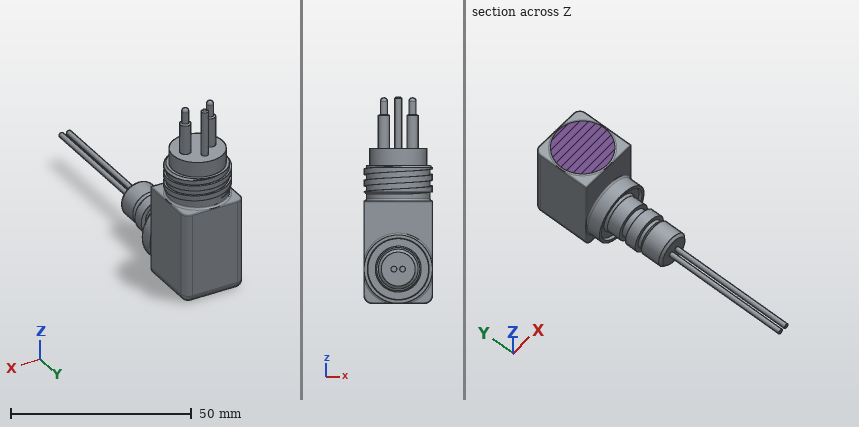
import cadquery as cq
import math


BODY_SIZE = 19.05
BODY_HALF = BODY_SIZE / 2
BODY_HEIGHT = 28.4
BODY_CORNER_RADIUS = 2.3
BODY_EDGE_RADIUS = 0.25

THREAD_ROOT_DIAMETER = 17.63
THREAD_CREST_DIAMETER = 18.85
THREAD_PITCH = 25.4 / 8
THREAD_RIDGE_WIDTH = THREAD_PITCH / 2
THREAD_BOTTOM = 30.3
THREAD_TOP = 38.2
THREAD_HEIGHT_AT_PLUS_X = 34.9
NECK_FILLET = 0.6
FACE_DIAMETER = 15.88
FACE_TOP = 42.9

PIN_OFFSET = 3.96
PIN_SLEEVE_DIAMETER = 3.17
PIN_SLEEVE_TOP = 52.3
PIN_SHOULDER_HEIGHT = 0.3
PIN_TIP_DIAMETER = 2.01
PIN_TIP_TOP = 56.95
GUIDE_PIN_DIAMETER = 1.99
GUIDE_PIN_TOP = 57.15
GUIDE_PIN_CHAMFER = 0.4

OUTLET_HEIGHT = BODY_HALF
COLLAR_DIAMETER = 18.92
COLLAR_LENGTH = 4.76
COLLAR_FILLET = 0.5
RECESS_DIAMETER = 17.14
RECESS_FLOOR_DIAMETER = 16.85
RECESS_DEPTH = 1.0
HUB_ROOT_DIAMETER = 12.7
HUB_TAPER_LENGTH = 0.9
HUB_DIAMETER = 11.94
HUB_END = 9.0
GROOVE_DIAMETER = 9.4
RING_START = 11.3
RING_END = 14.8
FLARE_START = 15.9
GRIP_DIAMETER = 11.02
GRIP_START = 16.75
GRIP_END = 23.8
GRIP_CHAMFER = (GRIP_DIAMETER - GROOVE_DIAMETER) / 2

WIRE_DIAMETER = 1.57
WIRE_OFFSET = 1.19
WIRE_LENGTH = 40.0

OVERLAP = 0.5


def cylinder(diameter, bottom, top, x=0, y=0):
    """Vertical cylinder between two heights."""
    base = cq.Workplane("XY", origin=(x, y, bottom))
    return base.circle(diameter / 2).extrude(top - bottom)


def make_body():
    """Block with rounded back and bottom edges, softened top and front edges."""
    block = cq.Workplane("XY").box(BODY_SIZE, BODY_SIZE, BODY_HEIGHT, centered=(True, True, False))
    block = block.edges("(|Z and >Y) or (|Y and <Z) or (|X and >Y and <Z)").fillet(BODY_CORNER_RADIUS)
    return block.faces(">Z or <Y").edges().fillet(BODY_EDGE_RADIUS)


def make_neck():
    """Thread core, flared into the top of the body, carrying the connector face."""
    root = THREAD_ROOT_DIAMETER / 2
    face = FACE_DIAMETER / 2
    arc_inset = NECK_FILLET * (1 - math.sqrt(0.5))
    profile = (
        cq.Workplane("XZ")
        .moveTo(0, BODY_HEIGHT - OVERLAP)
        .lineTo(root, BODY_HEIGHT - OVERLAP)
        .lineTo(root + NECK_FILLET, BODY_HEIGHT)
        .threePointArc(
            (root + arc_inset, BODY_HEIGHT + arc_inset),
            (root, BODY_HEIGHT + NECK_FILLET),
        )
        .lineTo(root, THREAD_TOP)
        .lineTo(face, THREAD_TOP)
        .lineTo(face, FACE_TOP)
        .lineTo(0, FACE_TOP)
        .close()
    )
    return profile.revolve(360, (0, 0, 0), (0, 1, 0))


def make_thread():
    """Square right-hand ridge, bevelled at 45 degrees to the root at both ends of the thread."""
    crest = THREAD_CREST_DIAMETER / 2
    root = THREAD_ROOT_DIAMETER / 2
    turns_below = math.ceil((THREAD_HEIGHT_AT_PLUS_X - THREAD_BOTTOM) / THREAD_PITCH) + 1
    turns_above = math.ceil((THREAD_TOP - THREAD_HEIGHT_AT_PLUS_X) / THREAD_PITCH) + 1
    start = THREAD_HEIGHT_AT_PLUS_X - turns_below * THREAD_PITCH
    length = (turns_below + turns_above) * THREAD_PITCH
    helix = cq.Wire.makeHelix(THREAD_PITCH, length, crest, center=cq.Vector(0, 0, start))
    ridge_depth = crest - root + OVERLAP
    section = cq.Workplane("XZ", origin=(0, 0, start)).center(crest - ridge_depth / 2, 0)
    ridge = section.rect(ridge_depth, THREAD_RIDGE_WIDTH).sweep(cq.Workplane(helix), isFrenet=True)

    bevel = crest - root + OVERLAP
    envelope = (
        cq.Workplane("XZ")
        .moveTo(0, THREAD_BOTTOM)
        .lineTo(root, THREAD_BOTTOM)
        .lineTo(root + bevel, THREAD_BOTTOM + bevel)
        .lineTo(root + bevel, THREAD_TOP - bevel)
        .lineTo(root, THREAD_TOP)
        .lineTo(0, THREAD_TOP)
        .close()
        .revolve(360, (0, 0, 0), (0, 1, 0))
    )
    return ridge.intersect(envelope)


def make_contact_pin(x):
    """Insulated lower shank, coned at the shoulder, with a round-nosed bare tip."""
    shoulder_width = (PIN_SLEEVE_DIAMETER - PIN_TIP_DIAMETER) / 2
    shank = cylinder(PIN_SLEEVE_DIAMETER, FACE_TOP - OVERLAP, PIN_SLEEVE_TOP, x)
    shank = shank.faces(">Z").edges().chamfer(PIN_SHOULDER_HEIGHT, shoulder_width)
    nose_radius = PIN_TIP_DIAMETER / 2
    nose_center = PIN_TIP_TOP - nose_radius
    tip = cylinder(PIN_TIP_DIAMETER, PIN_SLEEVE_TOP - OVERLAP, nose_center, x)
    nose = cq.Workplane("XY", origin=(x, 0, nose_center)).sphere(nose_radius)
    return shank.union(tip).union(nose)


def make_guide_pin():
    """Slim plain pin behind the two contacts."""
    pin = cylinder(GUIDE_PIN_DIAMETER, FACE_TOP - OVERLAP, GUIDE_PIN_TOP, 0, PIN_OFFSET)
    return pin.faces(">Z").edges().chamfer(GUIDE_PIN_CHAMFER)


def make_outlet():
    """Stepped cable outlet, turned about the cable axis and trimmed to the outline of the body."""
    collar = COLLAR_DIAMETER / 2
    recess = RECESS_DIAMETER / 2
    recess_floor = RECESS_FLOOR_DIAMETER / 2
    hub_root = HUB_ROOT_DIAMETER / 2
    hub = HUB_DIAMETER / 2
    groove = GROOVE_DIAMETER / 2
    grip = GRIP_DIAMETER / 2
    floor = COLLAR_LENGTH - RECESS_DEPTH
    arc_inset = COLLAR_FILLET * (1 - math.sqrt(0.5))
    profile = (
        cq.Workplane("XY")
        .moveTo(0, OVERLAP)
        .lineTo(collar - OVERLAP, OVERLAP)
        .lineTo(collar + COLLAR_FILLET, 0)
        .threePointArc((collar + arc_inset, -arc_inset), (collar, -COLLAR_FILLET))
        .lineTo(collar, -COLLAR_LENGTH)
        .lineTo(recess, -COLLAR_LENGTH)
        .lineTo(recess_floor, -floor)
        .lineTo(hub_root, -floor)
        .lineTo(hub, -floor - HUB_TAPER_LENGTH)
        .lineTo(hub, -HUB_END)
        .lineTo(groove, -HUB_END)
        .lineTo(groove, -RING_START)
        .lineTo(hub, -RING_START)
        .lineTo(hub, -RING_END)
        .lineTo(groove, -RING_END)
        .lineTo(groove, -FLARE_START)
        .lineTo(grip, -GRIP_START)
        .lineTo(grip, -GRIP_END + GRIP_CHAMFER)
        .lineTo(grip - GRIP_CHAMFER, -GRIP_END)
        .lineTo(0, -GRIP_END)
        .close()
    )
    turned = profile.revolve(360, (0, 0, 0), (0, 1, 0))
    outline = (
        cq.Workplane("XY", origin=(0, 0, -OUTLET_HEIGHT))
        .box(BODY_SIZE, 2 * (GRIP_END + OVERLAP), BODY_HEIGHT, centered=(True, True, False))
    )
    outline = outline.edges("|Y and <Z").fillet(BODY_CORNER_RADIUS)
    return turned.intersect(outline).translate((0, -BODY_HALF, OUTLET_HEIGHT))


def make_wire(x):
    """One conductor leaving the end of the grip."""
    start = -BODY_HALF - GRIP_END + OVERLAP
    base = cq.Workplane("XZ", origin=(x, start, OUTLET_HEIGHT))
    return base.circle(WIRE_DIAMETER / 2).extrude(WIRE_LENGTH + OVERLAP)


result = make_body().union(make_neck().union(make_thread())).union(make_outlet())
result = result.union(make_guide_pin())
for side in (-1, 1):
    result = result.union(make_contact_pin(side * PIN_OFFSET))
    result = result.union(make_wire(side * WIRE_OFFSET))